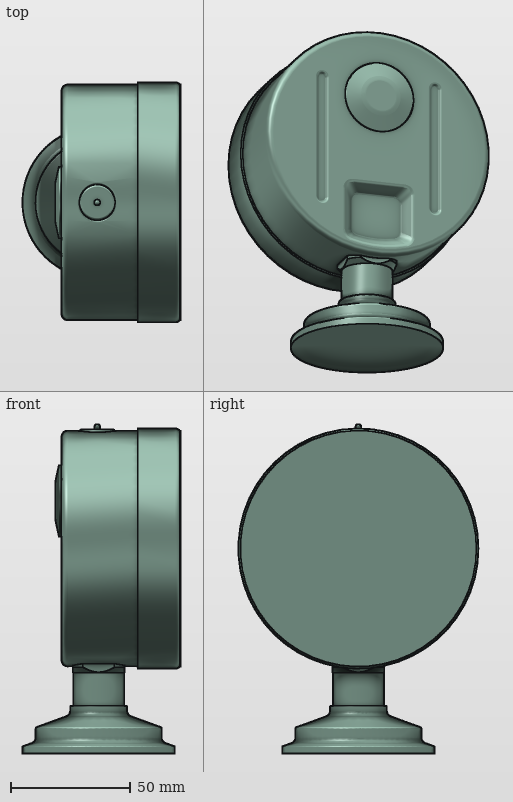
import cadquery as cq
import math

base_radius = 64.0 / 2
step_radius = 53.0 / 2
collar_radius = 24.0 / 2
neck_radius = 21.5 / 2
cone_slope = math.radians(20.0)
rim_edge_height = 3.0
step_edge_height = 10.95
collar_top = 20.0
cone_blend = 2.2
rim_round = 0.5
step_round = 1.0
collar_round = 0.5

nut_width = 21.8
nut_bevel_width = 2.0
nut_bevel_height = 2.2
nut_radius = neck_radius + nut_bevel_width
nut_bottom = 34.0
nut_top = 40.0

drum_radius = 99.0 / 2
ring_radius = 100.8 / 2
drum_length = 50.0
ring_length = 18.0
drum_front = -15.6
drum_axis_height = 86.0
drum_front_round = 2.7
ring_back_round = 2.2
drum_back = drum_front + drum_length

lens_radius = 30.0 / 2
lens_height = 20.0
lens_rim_thickness = 1.1
lens_thickness = 2.7
lens_flat_radius = 7.7
lens_flat_blend = 10.0
lens_rim_round = 0.25
lens_root = 1.0

groove_spacing = 50.0
groove_width = 5.1
groove_length = 58.1
groove_depth = 1.0
groove_taper = 45.0
groove_mouth_round = 1.0
groove_floor_round = 0.5

pocket_width = 30.0
pocket_top = 68.0
pocket_bottom_radius = 45.4
pocket_corner_round = 5.0
pocket_depth = 4.0
pocket_taper = 45.0
pocket_mouth_round = 2.0
pocket_floor_round = 1.0

button_setback = 15.0
button_x = drum_front + button_setback
button_radius = 15.0 / 2
button_top = 136.05
button_round = 1.25
button_seat_depth = 3.0
button_seat_round = 0.9
pin_radius = 2.5 / 2
pin_top = 138.2

pick_margin = 0.1


def make_stand():
    """Base with two conical steps, collar and neck, turned in one piece."""
    collar_edge_height = step_edge_height + (step_radius - collar_radius) * math.tan(cone_slope)
    step_foot_height = rim_edge_height + (base_radius - step_radius) * math.tan(cone_slope)
    stand = (
        cq.Workplane("XZ")
        .moveTo(0, 0)
        .lineTo(base_radius, 0)
        .lineTo(base_radius, rim_edge_height)
        .lineTo(step_radius, step_foot_height)
        .lineTo(step_radius, step_edge_height)
        .lineTo(collar_radius, collar_edge_height)
        .lineTo(collar_radius, collar_top)
        .lineTo(neck_radius, collar_top)
        .lineTo(neck_radius, nut_bottom)
        .lineTo(0, nut_bottom)
        .close()
        .revolve(360, (0, 0, 0), (0, 1, 0))
    )

    def circle_at(radius, height):
        """Select the circles up to this radius at this height."""
        reach = radius + pick_margin
        return cq.selectors.BoxSelector(
            (-reach, -reach, height - pick_margin),
            (reach, reach, height + pick_margin),
            boundingbox=True,
        )

    for radius, height, blend in (
        (base_radius, rim_edge_height, rim_round),
        (step_radius, step_foot_height, cone_blend),
        (step_radius, step_edge_height, step_round),
        (collar_radius, collar_edge_height, cone_blend),
        (collar_radius, collar_top, collar_round),
    ):
        corner = stand.edges(circle_at(radius, height)).edges(cq.selectors.RadiusNthSelector(-1))
        stand = corner.fillet(blend)
    return stand


def make_nut():
    """Bevelled round collar trimmed by four flats."""
    height = nut_top - nut_bottom
    base = cq.Workplane("XY", origin=(0, 0, nut_bottom))
    collar = base.circle(nut_radius).extrude(height)
    collar = collar.faces("<Z").edges().chamfer(nut_bevel_height, nut_bevel_width)
    return collar.intersect(base.rect(nut_width, nut_width).extrude(height))


def axial_disc(radius, start, length):
    """Disc on the drum axis, growing toward +X."""
    return cq.Workplane("YZ", origin=(start, 0, drum_axis_height)).circle(radius).extrude(length)


def make_drum():
    """Drum with a wider ring around its back end."""
    front = axial_disc(drum_radius, drum_front, drum_length).faces("<X").edges().fillet(drum_front_round)
    ring = axial_disc(ring_radius, drum_back - ring_length, ring_length)
    return front.union(ring.faces(">X").edges().fillet(ring_back_round))


def make_groove_cutters():
    """Two sloping-sided grooves with rounded floor edges."""
    cutters = (
        cq.Workplane("YZ", origin=(drum_front, 0, drum_axis_height))
        .pushPoints([(-groove_spacing / 2, 0), (groove_spacing / 2, 0)])
        .slot2D(groove_length, groove_width, 90)
        .extrude(groove_depth, taper=groove_taper)
    )
    return cutters.faces(">X").edges().fillet(groove_floor_round)


def make_pocket_cutter():
    """Tapered pocket whose bottom wall is concentric with the drum."""
    half_width = pocket_width / 2
    top = pocket_top - drum_axis_height
    corner = -math.sqrt(pocket_bottom_radius**2 - half_width**2)
    cutter = (
        cq.Workplane("YZ", origin=(drum_front, 0, drum_axis_height))
        .moveTo(half_width, corner)
        .lineTo(half_width, top)
        .lineTo(-half_width, top)
        .lineTo(-half_width, corner)
        .threePointArc((0, -pocket_bottom_radius), (half_width, corner))
        .close()
        .extrude(pocket_depth, taper=pocket_taper)
    )
    side_corners = cutter.edges("not(<X or >X)")
    return side_corners.fillet(pocket_corner_round).faces(">X").edges().fillet(pocket_floor_round)


def cut_front_face(drum):
    """Cut the grooves and the pocket, then round their mouths."""

    def mouth(middle_y, width, bottom, top):
        """Select the edges in an upright rectangle of the front face."""
        reach = width / 2 + pick_margin
        return cq.selectors.BoxSelector(
            (drum_front - pick_margin, middle_y - reach, bottom - pick_margin),
            (drum_front + pick_margin, middle_y + reach, top + pick_margin),
        )

    drum = drum.cut(make_groove_cutters()).cut(make_pocket_cutter())
    groove_bottom = drum_axis_height - groove_length / 2
    groove_top = drum_axis_height + groove_length / 2
    for middle_y in (-groove_spacing / 2, groove_spacing / 2):
        groove_mouth = mouth(middle_y, groove_width, groove_bottom, groove_top)
        drum = drum.edges(groove_mouth).fillet(groove_mouth_round)
    pocket_bottom = drum_axis_height - pocket_bottom_radius
    pocket_mouth = mouth(0, pocket_width, pocket_bottom, pocket_top)
    return drum.edges(pocket_mouth).fillet(pocket_mouth_round)


def make_lens():
    """Flat-topped conical disc with blended edges."""
    lens = (
        cq.Workplane("XY", origin=(drum_front, 0, drum_axis_height + lens_height))
        .moveTo(lens_root, 0)
        .lineTo(lens_root, lens_radius)
        .lineTo(-lens_rim_thickness, lens_radius)
        .lineTo(-lens_thickness, lens_flat_radius)
        .lineTo(-lens_thickness, 0)
        .close()
        .revolve(360, (0, 0, 0), (1, 0, 0))
    )
    lens = lens.faces("<X").edges().fillet(lens_flat_blend)
    rim = cq.selectors.RadiusNthSelector(-1)
    return lens.edges(rim).edges("<X").fillet(lens_rim_round)


def add_button(drum):
    """Round-edged button in a rounded seat, carrying a dome-ended pin."""
    seat_bottom = drum_axis_height + drum_radius - button_seat_depth
    column = cq.Workplane("XY", origin=(button_x, 0, seat_bottom))
    drum = drum.cut(column.circle(button_radius).extrude(2 * button_seat_depth))
    reach = button_radius + pick_margin
    seat_edge = cq.selectors.BoxSelector(
        (button_x - reach, -reach, seat_bottom + button_seat_depth / 2),
        (button_x + reach, reach, button_top),
        boundingbox=True,
    )
    drum = drum.edges(seat_edge).fillet(button_seat_round)
    button = column.circle(button_radius).extrude(button_top - seat_bottom)
    button = button.faces(">Z").edges().fillet(button_round)
    pin_dome = pin_top - pin_radius
    pin = column.circle(pin_radius).extrude(pin_dome - seat_bottom)
    tip = cq.Workplane("XY", origin=(button_x, 0, pin_dome)).sphere(pin_radius)
    return drum.union(button).union(pin.union(tip))


drum = add_button(cut_front_face(make_drum()))
result = drum.union(make_lens()).union(make_nut()).union(make_stand())